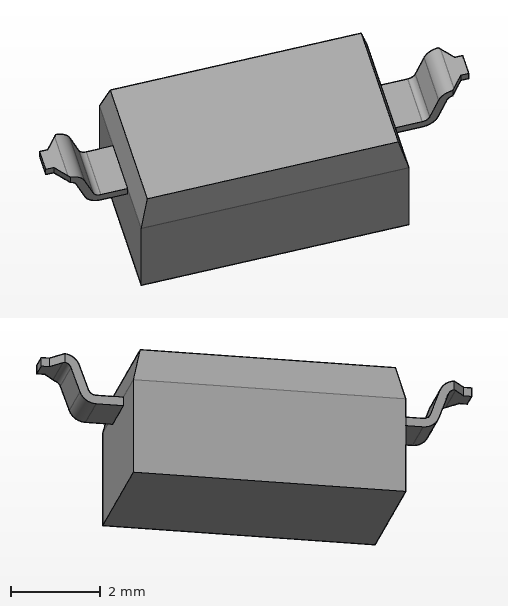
import cadquery as cq
import math

total_length = 9.8
total_height = 3.15

body_width = 3.48
body_length = 6.2
block_height = 2.205
body_height = 3.01
cap_inset = 0.2

lead_width = 1.22
lead_thickness = 0.21
lead_embed = 0.2
bend_inner_radius = 0.19
bend_angle = math.radians(70)
foot_length = 0.43

tongue_width = 0.51
tongue_length = 0.19
taper_length = 0.28


def make_body():
    """Block standing on Z = 0 with the drafted cap on top."""
    block = cq.Workplane("XY").box(body_width, body_length, block_height, centered=(True, True, False))
    cap_height = body_height - block_height
    draft = math.degrees(math.atan(cap_inset / cap_height))
    return block.faces(">Z").workplane().rect(body_width, body_length).extrude(cap_height, taper=draft)


def make_bent_strip():
    """Constant-width strip at the +Y end, swept along its centreline."""
    radius = bend_inner_radius + lead_thickness / 2
    low_z = block_height - lead_thickness / 2
    high_z = total_height - lead_thickness / 2
    arc_run = radius * math.sin(bend_angle)
    arc_rise = radius * (1 - math.cos(bend_angle))
    slope_rise = high_z - low_z - 2 * arc_rise
    slope_run = slope_rise / math.tan(bend_angle)

    start_y = body_length / 2 - lead_embed
    end_y = total_length / 2
    high_bend_y = end_y - foot_length
    low_bend_y = high_bend_y - 2 * arc_run - slope_run

    slope_start = (low_bend_y + arc_run, low_z + arc_rise)
    slope_end = (high_bend_y - arc_run, high_z - arc_rise)
    path = (
        cq.Workplane("YZ")
        .moveTo(start_y, low_z)
        .lineTo(low_bend_y, low_z)
        .tangentArcPoint(slope_start, relative=False)
        .lineTo(*slope_end)
        .tangentArcPoint((high_bend_y, high_z), relative=False)
        .lineTo(end_y, high_z)
    )
    section = cq.Workplane("XZ", origin=(0, start_y, low_z)).rect(lead_width, lead_thickness)
    return section.sweep(path)


def make_lead_outline():
    """Plan shape of the +Y lead, as a prism over the full height."""
    end_y = total_length / 2
    shoulder_y = end_y - tongue_length
    taper_start_y = shoulder_y - taper_length
    return (
        cq.Workplane("XY")
        .moveTo(0, 0)
        .lineTo(lead_width / 2, 0)
        .lineTo(lead_width / 2, taper_start_y)
        .lineTo(tongue_width / 2, shoulder_y)
        .lineTo(tongue_width / 2, end_y)
        .lineTo(0, end_y)
        .mirrorY()
        .extrude(total_height)
    )


lead = make_bent_strip().intersect(make_lead_outline())
opposite_lead = lead.mirror("XZ")
result = make_body().union(lead).union(opposite_lead)